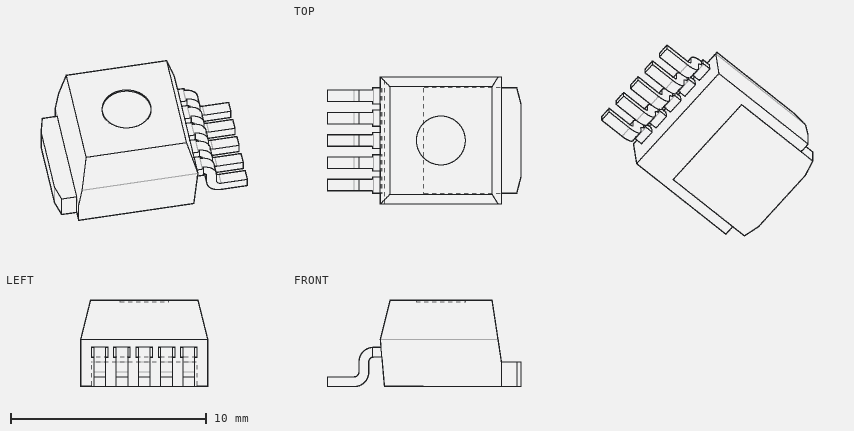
import cadquery as cq

BODY_LENGTH = 6.2
BODY_WIDTH = 6.5
BODY_BOTTOM = 0.02
PARTING_Z = 2.42
BODY_TOP = 4.42
UPPER_INSET = 0.5
LEAD_SIDE_BOTTOM_INSET = 0.21
TAB_SIDE_TOP_INSET = 0.48

MARK_DIAMETER = 2.5
MARK_DEPTH = 0.1

TAB_WIDTH = 5.4
TAB_THICKNESS = 1.27
TAB_OVERHANG = 1.0
TAB_LENGTH = 5.0
TAB_CORNER_X = 0.22
TAB_CORNER_Y = 0.85

LEAD_COUNT = 5
LEAD_PITCH = 1.14
LEAD_WIDTH = 0.6
LEAD_THICKNESS = 0.51
LEAD_REACH = 2.7
LEAD_TOP = 2.02
FOOT_FLAT = 1.37
BEND_INNER_RADIUS = 0.24
BEND_OUTER_RADIUS = BEND_INNER_RADIUS + LEAD_THICKNESS
LEAD_EMBED = 0.5
SHOULDER_WIDTH = 0.84
SHOULDER_REACH = 0.4

LEAD_SIDE_X = -BODY_LENGTH / 2
TAB_SIDE_X = BODY_LENGTH / 2
LEAD_TIP_X = LEAD_SIDE_X - LEAD_REACH
TAB_END_X = TAB_SIDE_X + TAB_OVERHANG


def extrude_across(profile, width):
    """Extrude an XZ profile by width, centred on Y = 0."""
    return profile.extrude(width / 2, both=True)


def make_body():
    """Side outline along X, with both long sides drafted above the parting plane."""
    side_outline = (
        cq.Workplane("XZ")
        .moveTo(LEAD_SIDE_X + LEAD_SIDE_BOTTOM_INSET, BODY_BOTTOM)
        .lineTo(TAB_SIDE_X, BODY_BOTTOM)
        .lineTo(TAB_SIDE_X, TAB_THICKNESS)
        .lineTo(TAB_SIDE_X - TAB_SIDE_TOP_INSET, BODY_TOP)
        .lineTo(LEAD_SIDE_X + UPPER_INSET, BODY_TOP)
        .lineTo(LEAD_SIDE_X, PARTING_Z)
        .close()
    )
    half_width = BODY_WIDTH / 2
    end_outline = (
        cq.Workplane("YZ")
        .moveTo(-half_width, BODY_BOTTOM)
        .lineTo(half_width, BODY_BOTTOM)
        .lineTo(half_width, PARTING_Z)
        .lineTo(half_width - UPPER_INSET, BODY_TOP)
        .lineTo(UPPER_INSET - half_width, BODY_TOP)
        .lineTo(-half_width, PARTING_Z)
        .close()
    )
    side_prism = extrude_across(side_outline, BODY_WIDTH)
    end_prism = end_outline.extrude(BODY_LENGTH / 2, both=True)
    return side_prism.intersect(end_prism)


def make_mark():
    """Cutter for the shallow round recess in the top face."""
    return (
        cq.Workplane("XY", origin=(0, 0, BODY_TOP - MARK_DEPTH))
        .circle(MARK_DIAMETER / 2)
        .extrude(MARK_DEPTH)
    )


def make_tab():
    """Flat tab whose two outer corners are cut back at a shallow angle."""
    start_x = TAB_END_X - TAB_LENGTH
    half_width = TAB_WIDTH / 2
    return (
        cq.Workplane("XY")
        .moveTo(start_x, -half_width)
        .lineTo(TAB_END_X - TAB_CORNER_X, -half_width)
        .lineTo(TAB_END_X, TAB_CORNER_Y - half_width)
        .lineTo(TAB_END_X, half_width - TAB_CORNER_Y)
        .lineTo(TAB_END_X - TAB_CORNER_X, half_width)
        .lineTo(start_x, half_width)
        .close()
        .extrude(TAB_THICKNESS)
    )


def make_lead_strip(width):
    """S-bent strip from the foot tip to the end buried in the body."""
    foot_end_x = LEAD_TIP_X + FOOT_FLAT
    riser_tip_side_x = foot_end_x + BEND_INNER_RADIUS
    riser_body_side_x = foot_end_x + BEND_OUTER_RADIUS
    arm_start_x = riser_body_side_x + BEND_INNER_RADIUS
    buried_x = LEAD_SIDE_X + LEAD_EMBED
    arm_bottom = LEAD_TOP - LEAD_THICKNESS
    riser_bottom = BEND_OUTER_RADIUS
    riser_top = LEAD_TOP - BEND_OUTER_RADIUS
    outline = (
        cq.Workplane("XZ")
        .moveTo(LEAD_TIP_X, 0)
        .lineTo(foot_end_x, 0)
        .radiusArc((riser_body_side_x, riser_bottom), -BEND_OUTER_RADIUS)
        .lineTo(riser_body_side_x, riser_top)
        .radiusArc((arm_start_x, arm_bottom), BEND_INNER_RADIUS)
        .lineTo(buried_x, arm_bottom)
        .lineTo(buried_x, LEAD_TOP)
        .lineTo(arm_start_x, LEAD_TOP)
        .radiusArc((riser_tip_side_x, riser_top), -BEND_OUTER_RADIUS)
        .lineTo(riser_tip_side_x, riser_bottom)
        .radiusArc((foot_end_x, LEAD_THICKNESS), BEND_INNER_RADIUS)
        .lineTo(LEAD_TIP_X, LEAD_THICKNESS)
        .close()
    )
    return extrude_across(outline, width)


def make_lead():
    """Narrow lead with a wider shoulder where it enters the body."""
    shoulder_start_x = LEAD_SIDE_X - SHOULDER_REACH
    shoulder_length = SHOULDER_REACH + LEAD_EMBED
    shoulder_zone = cq.Workplane("XY", origin=(shoulder_start_x, 0, 0)).box(
        shoulder_length, SHOULDER_WIDTH, LEAD_TOP, centered=(False, True, False)
    )
    shoulder = make_lead_strip(SHOULDER_WIDTH).intersect(shoulder_zone)
    return make_lead_strip(LEAD_WIDTH).union(shoulder)


result = make_body().cut(make_mark()).union(make_tab())
lead = make_lead()
for index in range(LEAD_COUNT):
    lead_y = (index - (LEAD_COUNT - 1) / 2) * LEAD_PITCH
    result = result.union(lead.translate((0, lead_y, 0)))